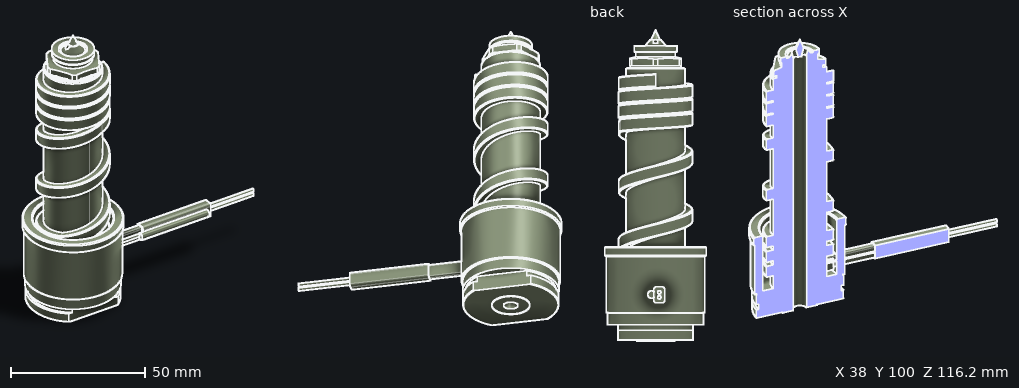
import cadquery as cq
import math

foot_height, foot_radius = 0.29, 7.1
base_top, base_radius, base_chamfer = 4.1, 17.9, 0.2
neck_top, neck_radius = 6.2, 17.0
flat_half_width = 14.1

ring_top, ring_radius = 10.5, 18.0
groove_height, groove_radius = 0.2, 17.8
shell_radius = 18.5
flange_bottom, flange_top, flange_radius = 31.6, 35.3, 19.0
flange_chamfer = 0.5
cavity_radius = 15.0
cavity_floor = 11.6

barrel_radius, barrel_top, barrel_chamfer = 11.0, 102.0, 0.5
shoulder_radius = 9.5
nut_bottom, nut_top, nut_cone_top = 102.7, 105.3, 106.1
nut_across_flats, nut_round_radius = 19.3, 10.7
collar_neck_radius = 7.4
collar_bottom, collar_top, collar_radius = 108.1, 110.2, 8.0
collar_step_height, collar_step_radius = 0.3, 7.7
recess_radius, recess_floor = 5.3, 109.5

overall_height = 116.2
point_base_radius = 4.5
point_shoulder_z, point_shoulder_radius = 112.4, 2.1
spike_radius = 1.7

bore_radius, bore_top = 2.7, 108.6
feed_radius, feed_tilt = 0.87, 15.0
feed_y, feed_z = 2.4, 111.7

coil_outer_radius = 13.8
coil_height, coil_chamfer = 4.9, 0.3
lower_pitch, coarse_pitch, upper_pitch = 6.4, 21.7, 5.2
coil_start_angle, coil_start_z = 90.0, 16.2
lower_turns, coarse_turns, upper_turns = 2.6, 2.2, 3.2
coil_overlap = 0.2

lead_x, lead_z = -1.4, 17.3
lead_width, lead_height, lead_fillet = 2.5, 5.3, 0.6
sleeve_start, sleeve_end = 30.8, 61.0
sleeve_width, sleeve_height, sleeve_fillet = 4.1, 5.9, 0.9
wire_end, wire_radius, wire_spacing = 81.05, 0.64, 1.9

sensor_x, sensor_z = 1.5, 17.4
sensor_start, sensor_end, sensor_radius = 29.0, 58.9, 1.4
probe_x, probe_radius = 0.41, 0.6


def cylinder(radius, bottom, top):
    return cq.Workplane("XY").workplane(offset=bottom).circle(radius).extrude(top - bottom)


def section_across_y(start):
    """Workplane facing +Y, with its local x along -X and its local y along +Z."""
    return cq.Workplane(cq.Plane(origin=(0, start, 0), xDir=(-1, 0, 0), normal=(0, 1, 0)))


def rod(x, z, radius, start, end):
    return section_across_y(start).center(-x, z).circle(radius).extrude(end - start)


def rounded_bar(x, z, width, height, fillet, start, end):
    bar = section_across_y(start).center(-x, z).rect(width, height).extrude(end - start)
    return bar.edges("|Y").fillet(fillet)


def make_base():
    base = cylinder(base_radius, foot_height, base_top).faces("<Z").chamfer(base_chamfer)
    base = base.union(cylinder(neck_radius, base_top, neck_top))
    flats = cq.Workplane("XY").box(2 * flat_half_width, 3 * base_radius, 3 * neck_top)
    return base.intersect(flats).union(cylinder(foot_radius, 0, foot_height))


def make_shell():
    outline = [
        (0, neck_top),
        (ring_radius, neck_top),
        (ring_radius, ring_top),
        (groove_radius, ring_top),
        (groove_radius, ring_top + groove_height),
        (shell_radius, ring_top + groove_height),
        (shell_radius, flange_bottom),
        (flange_radius, flange_bottom + flange_chamfer),
        (flange_radius, flange_top - flange_chamfer),
        (flange_radius - flange_chamfer, flange_top),
        (cavity_radius + flange_chamfer, flange_top),
        (cavity_radius, flange_top - flange_chamfer),
        (cavity_radius, cavity_floor),
        (0, cavity_floor),
    ]
    return cq.Workplane("XZ").polyline(outline).close().revolve(360, (0, 0), (0, 1))


def make_nut():
    corner_diameter = nut_across_flats / math.cos(math.radians(30))
    nut = cq.Workplane("XY").workplane(offset=nut_bottom).polygon(6, corner_diameter)
    nut = nut.extrude(nut_cone_top - nut_bottom).rotate((0, 0, 0), (0, 0, 1), 30)
    envelope = [
        (0, nut_bottom),
        (nut_round_radius, nut_bottom),
        (nut_round_radius, nut_top),
        (collar_neck_radius, nut_cone_top),
        (0, nut_cone_top),
    ]
    return nut.intersect(cq.Workplane("XZ").polyline(envelope).close().revolve(360, (0, 0), (0, 1)))


def make_nozzle():
    outline = [
        (0, nut_top),
        (collar_neck_radius, nut_top),
        (collar_neck_radius, collar_bottom - collar_step_height),
        (collar_step_radius, collar_bottom - collar_step_height),
        (collar_step_radius, collar_bottom),
        (collar_radius, collar_bottom),
        (collar_radius, collar_top),
        (recess_radius, collar_top),
        (recess_radius, recess_floor),
        (point_base_radius, recess_floor),
        (point_shoulder_radius, point_shoulder_z),
        (spike_radius, point_shoulder_z),
        (0, overall_height),
    ]
    return cq.Workplane("XZ").polyline(outline).close().revolve(360, (0, 0), (0, 1))


def make_coil_run(start_angle, start_z, pitch, turns):
    """One helical run with its lower end at the given angle."""
    path = cq.Wire.makeHelix(pitch, pitch * turns, barrel_radius)
    half_height = coil_height / 2
    section = [
        (barrel_radius - coil_overlap, -half_height),
        (coil_outer_radius - coil_chamfer, -half_height),
        (coil_outer_radius, -half_height + coil_chamfer),
        (coil_outer_radius, half_height - coil_chamfer),
        (coil_outer_radius - coil_chamfer, half_height),
        (barrel_radius - coil_overlap, half_height),
    ]
    run = cq.Workplane("XZ").polyline(section).close().sweep(cq.Workplane(path), isFrenet=True)
    return run.rotate((0, 0, 0), (0, 0, 1), start_angle).translate((0, 0, start_z))


def wind_coil(body):
    """Add the coil run by run, each starting where the last one ended."""
    runs = [
        (lower_pitch, lower_turns),
        (coarse_pitch, coarse_turns),
        (upper_pitch, upper_turns),
    ]
    angle = coil_start_angle
    z = coil_start_z
    for pitch, turns in runs:
        body = body.union(make_coil_run(angle, z, pitch, turns))
        angle += 360 * turns
        z += pitch * turns
    return body


def make_leads():
    lead = rounded_bar(lead_x, lead_z, lead_width, lead_height, lead_fillet, barrel_radius, sleeve_end)
    leads = lead.union(
        rounded_bar(lead_x, lead_z, sleeve_width, sleeve_height, sleeve_fillet, sleeve_start, sleeve_end)
    )
    for side in (-1, 1):
        wire_z = lead_z + side * wire_spacing / 2
        leads = leads.union(rod(lead_x, wire_z, wire_radius, sleeve_start, wire_end))
    leads = leads.union(rod(probe_x, sensor_z, probe_radius, barrel_radius, sensor_end))
    return leads.union(rod(sensor_x, sensor_z, sensor_radius, sensor_start, sensor_end))


def cut_melt_channel(body):
    body = body.cut(cylinder(bore_radius, 0, bore_top))
    for side in (-1, 1):
        tilt = math.radians(feed_tilt)
        direction = cq.Vector(0, side * math.sin(tilt), math.cos(tilt))
        length = 2 * (feed_z - bore_top + feed_radius)
        start = cq.Vector(0, side * feed_y, feed_z) - direction * (length / 2)
        body = body.cut(cq.Workplane(cq.Solid.makeCylinder(feed_radius, length, start, direction)))
    return body


barrel = cylinder(barrel_radius, cavity_floor, barrel_top).faces(">Z").chamfer(barrel_chamfer)
shoulder = cylinder(shoulder_radius, barrel_top, nut_bottom)

body = wind_coil(barrel)
body = body.union(make_base()).union(make_shell()).union(shoulder)
body = body.union(make_nut()).union(make_nozzle())
body = cut_melt_channel(body)
result = body.union(make_leads())